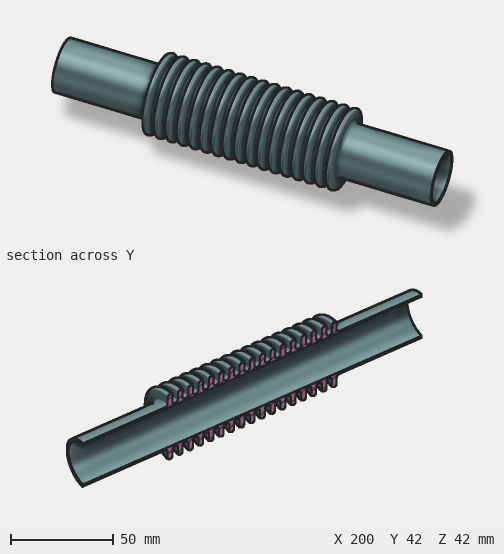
import cadquery as cq

length = 200.0
tube_radius = 28.0 / 2
bore_radius = 25.0 / 2

rib_radius = 42.0 / 2
rib_count = 17
bellows_length = 100.0
rib_width = bellows_length / (2 * rib_count - 1)
pitch = 2 * rib_width
round_radius = rib_width / 2

flank_bottom = tube_radius + round_radius
flank_top = rib_radius - round_radius


def add_rib(profile, center):
    """Continue the profile over one rib, from gap bottom to gap bottom."""
    left = center - round_radius
    right = center + round_radius
    return (
        profile
        .radiusArc((left, flank_bottom), -round_radius)
        .lineTo(left, flank_top)
        .threePointArc((center, rib_radius), (right, flank_top))
        .lineTo(right, flank_bottom)
        .radiusArc((center + rib_width, tube_radius), -round_radius)
    )


first_rib = -pitch * (rib_count - 1) / 2
profile = (
    cq.Workplane("XY")
    .moveTo(-length / 2, bore_radius)
    .lineTo(-length / 2, tube_radius)
    .lineTo(first_rib - rib_width, tube_radius)
)
for index in range(rib_count):
    profile = add_rib(profile, first_rib + index * pitch)
profile = (
    profile
    .lineTo(length / 2, tube_radius)
    .lineTo(length / 2, bore_radius)
    .close()
)

result = profile.revolve(360, (0, 0, 0), (1, 0, 0))